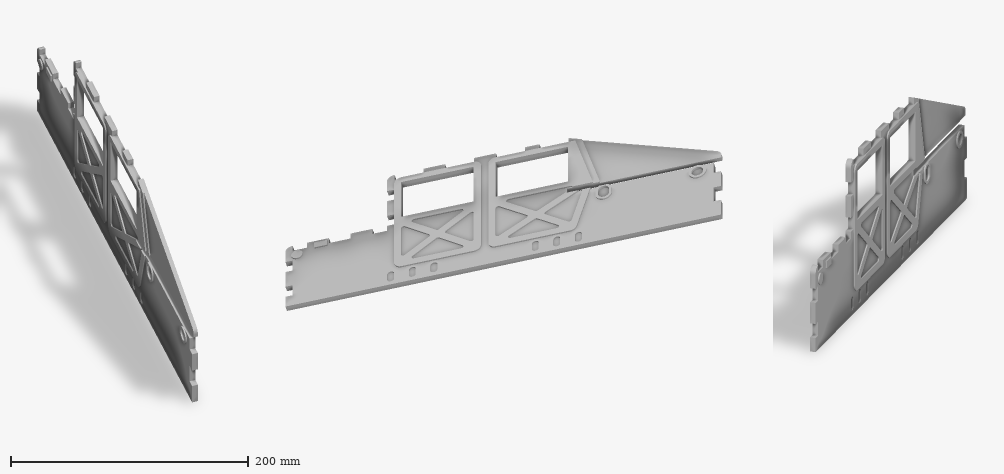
import cadquery as cq
import math

LENGTH = 381.0
HEIGHT = 139.7
OVERALL_DEPTH = 6.35
RELIEF = 1.27
PLATE = OVERALL_DEPTH - RELIEF
RECESS = RELIEF

STEP = 6.35
FINGER = 3 * STEP
GAP = 2 * STEP

HOOD_TOP = 76.2
CAB_LEFT = 88.9
CAB_FACE = 95.5
CAB_TOP = HEIGHT - STEP
ROOF_FINGERS = [(120.65, 139.7), (165.1, 184.15), (209.55, 222.25)]

SLOT_LEFT = 246.3
SLOT_BOTTOM = 68.58
SLOT_TOP = SLOT_BOTTOM + STEP

FIN_LEFT = 247.65
FIN_TIP = 82.55
FIN_ROUND = 6.35

DOOR_BOTTOM = FINGER
DOOR_ROUND = 6.35
FRONT_DOOR_LEFT = CAB_FACE
FRONT_DOOR_RIGHT = 171.45
REAR_DOOR_LEFT = FRONT_DOOR_RIGHT + STEP
REAR_DOOR_RIGHT = 253.85
REAR_DOOR_POINT = 269.0
DOOR_MIDDLE = (DOOR_BOTTOM + CAB_TOP) / 2
REAR_EDGE_LEAN = math.atan2(REAR_DOOR_POINT - REAR_DOOR_RIGHT, CAB_TOP - DOOR_MIDDLE)
REAR_EDGE_SPACING = STEP / math.cos(REAR_EDGE_LEAN)
FIN_RECESS_SPACING = 5.9

WINDOW_WIDTH = 63.5
FRONT_WINDOW_LEFT = FRONT_DOOR_RIGHT - STEP - WINDOW_WIDTH
REAR_WINDOW_LEFT = REAR_DOOR_LEFT + STEP
WINDOW_TOP = CAB_TOP - STEP
WINDOW_BOTTOM = 82.55

PANEL_BOTTOM = DOOR_BOTTOM + 6.65
PANEL_TOP = WINDOW_BOTTOM - STEP
BRACE_WIDTH = 6.75
POCKET_ROUND = 2.0

VENT_WIDTH = 6.0
VENT_HEIGHT = 12.5
VENT_CENTRE_Z = 10.2
VENT_PITCH = 18.9
VENT_COUNT = 3
VENT_GROUP_STARTS = (92.075, 218.5)

DISC_X = 10.4
DISC_Z = 62.8
DISC_RADIUS = 5.0
BLOCK_LEFT = 25.4
BLOCK_RIGHT = 36.8
BLOCK_BOTTOM = 66.7
BLOCK_TOP = 73.0
OVAL_RING_X = 278.6
OVAL_RING_Z = 60.3
OVAL_RING_STRETCH = 4.2
OVAL_RING_OUTER_RADIUS = 7.2
OVAL_RING_INNER_RADIUS = 4.8
ROUND_RING_X = 360.6
ROUND_RING_Z = 60.7
ROUND_RING_OUTER_RADIUS = 7.65
ROUND_RING_INNER_RADIUS = 5.2


def slab(points, front, back):
    """Prism with an XZ outline, filling the space between two depths from the back face."""
    return cq.Workplane("XZ").workplane(offset=back).polyline(points).close().extrude(front - back)


def box(left, right, bottom, top, front=PLATE, back=0.0):
    return slab([(left, bottom), (right, bottom), (right, top), (left, top)], front, back)


def upright_slot(x, z, width, height, front, back):
    plane = cq.Workplane("XZ").workplane(offset=back).center(x, z)
    return plane.slot2D(height, width, 90).extrude(front - back)


def disc(x, z, radius, front, back):
    return cq.Workplane("XZ").workplane(offset=back).center(x, z).circle(radius).extrude(front - back)


def relief(points):
    return slab(points, OVERALL_DEPTH, PLATE)


def base_plate():
    """Flat wall with finger joints on its left, upper and right edges."""
    inner_right = LENGTH - STEP
    hood = box(STEP, CAB_LEFT, 0, HOOD_TOP - STEP)
    lower_wall = box(CAB_LEFT, inner_right, 0, SLOT_BOTTOM)
    cab = box(CAB_FACE, FIN_LEFT, 0, CAB_TOP)
    plate = hood.union(lower_wall).union(cab).union(fin())

    for bottom, top in [(0, GAP), (2 * GAP, 2 * GAP + FINGER)]:
        plate = plate.union(box(0, STEP, bottom, top))
    right_finger_top = SLOT_BOTTOM - GAP
    for bottom, top in [(0, FINGER), (right_finger_top - FINGER, right_finger_top)]:
        plate = plate.union(box(inner_right, LENGTH, bottom, top))

    plate = plate.union(corner_finger(0, STEP, HOOD_TOP))
    plate = plate.union(corner_finger(CAB_LEFT, CAB_FACE, HEIGHT))

    upper_finger = HOOD_TOP + GAP
    plate = plate.union(box(CAB_LEFT, CAB_FACE, upper_finger, upper_finger + FINGER))
    plate = plate.union(box(CAB_LEFT, CAB_FACE, 0, HOOD_TOP))

    for left in (FINGER, 3 * FINGER):
        plate = plate.union(box(left, left + FINGER, HOOD_TOP - STEP, HOOD_TOP))

    for left, right in ROOF_FINGERS:
        plate = plate.union(box(left, right, CAB_TOP, HEIGHT))
    return plate


def fin():
    """Sloping fin with its upper right-hand corner rounded."""
    outline = [(FIN_LEFT, SLOT_TOP), (LENGTH, SLOT_TOP), (LENGTH, FIN_TIP), (FIN_LEFT, HEIGHT)]
    return slab(outline, PLATE, 0).edges("|Y").edges(">X").edges(">Z").fillet(FIN_ROUND)


def corner_finger(left, right, top):
    """Finger whose outer upper corner is a full quarter round."""
    width = right - left
    square_part = box(left, right, top - FINGER, top - width)
    round_part = disc(right, top - width, width, PLATE, 0).intersect(box(left, right, top - width, top))
    return square_part.union(round_part)


def rear_edge(z):
    """X of the leaning right-hand edge of the rear door at a height."""
    return REAR_DOOR_POINT - abs(z - DOOR_MIDDLE) * math.tan(REAR_EDGE_LEAN)


def fin_recess():
    """Shallow step in the front of the fin, held a little away from the rear door."""
    return slab(
        [
            (rear_edge(DOOR_MIDDLE) + FIN_RECESS_SPACING, DOOR_MIDDLE),
            (rear_edge(HEIGHT) + FIN_RECESS_SPACING, HEIGHT),
            (LENGTH, HEIGHT),
            (LENGTH, SLOT_TOP),
            (rear_edge(SLOT_TOP) + FIN_RECESS_SPACING, SLOT_TOP),
        ],
        PLATE,
        PLATE - RECESS,
    )


def front_door():
    door = box(FRONT_DOOR_LEFT, FRONT_DOOR_RIGHT, DOOR_BOTTOM, CAB_TOP, OVERALL_DEPTH, PLATE)
    return door.edges("|Y").fillet(DOOR_ROUND)


def rear_door():
    door = relief(
        [
            (REAR_DOOR_LEFT, DOOR_BOTTOM),
            (REAR_DOOR_RIGHT, DOOR_BOTTOM),
            (REAR_DOOR_POINT, DOOR_MIDDLE),
            (REAR_DOOR_RIGHT, CAB_TOP),
            (REAR_DOOR_LEFT, CAB_TOP),
        ]
    )
    return door.edges("|Y and (<X or <Z)").fillet(DOOR_ROUND)


def braced_pockets(left, right_bottom, right_top):
    """Four rounded triangular pockets left between the two diagonal braces of a panel."""
    corners = [
        (left, PANEL_BOTTOM),
        (right_bottom, PANEL_BOTTOM),
        (right_top, PANEL_TOP),
        (left, PANEL_TOP),
    ]
    pockets = relief(corners)
    for start, end in [(corners[0], corners[2]), (corners[1], corners[3])]:
        run = end[0] - start[0]
        rise = end[1] - start[1]
        length = math.hypot(run, rise)
        brace = (
            cq.Workplane("XZ")
            .workplane(offset=PLATE)
            .center((start[0] + end[0]) / 2, (start[1] + end[1]) / 2)
            .transformed(rotate=(0, 0, math.degrees(math.atan2(rise, run))))
            .rect(2 * length, BRACE_WIDTH)
            .extrude(RELIEF)
        )
        pockets = pockets.cut(brace)
    return pockets.edges("|Y").fillet(POCKET_ROUND)


def oval(radius, front, back):
    height = OVAL_RING_STRETCH + 2 * radius
    return upright_slot(OVAL_RING_X, OVAL_RING_Z, 2 * radius, height, front, back)


def round_ring_disc(radius, front, back):
    return disc(ROUND_RING_X, ROUND_RING_Z, radius, front, back)


def raised_details():
    """Disc, block and two ring bosses standing on the lower wall."""
    details = disc(DISC_X, DISC_Z, DISC_RADIUS, OVERALL_DEPTH, PLATE)
    block = box(BLOCK_LEFT, BLOCK_RIGHT, BLOCK_BOTTOM, BLOCK_TOP, OVERALL_DEPTH, PLATE)
    oval_boss = oval(OVAL_RING_OUTER_RADIUS, OVERALL_DEPTH, PLATE)
    round_boss = round_ring_disc(ROUND_RING_OUTER_RADIUS, OVERALL_DEPTH, PLATE)
    return details.union(block).union(oval_boss).union(round_boss)


def cut_ring_centres(body):
    """Blind centres of the two rings, sunk below the plate face."""
    floor = PLATE - RECESS
    body = body.cut(oval(OVAL_RING_INNER_RADIUS, OVERALL_DEPTH, floor))
    return body.cut(round_ring_disc(ROUND_RING_INNER_RADIUS, OVERALL_DEPTH, floor))


def cut_windows(body):
    for left in (FRONT_WINDOW_LEFT, REAR_WINDOW_LEFT):
        body = body.cut(box(left, left + WINDOW_WIDTH, WINDOW_BOTTOM, WINDOW_TOP, OVERALL_DEPTH))
    return body


def cut_vents(body):
    for start in VENT_GROUP_STARTS:
        for index in range(VENT_COUNT):
            x = start + index * VENT_PITCH
            vent = upright_slot(x, VENT_CENTRE_Z, VENT_WIDTH, VENT_HEIGHT, PLATE, PLATE - RECESS)
            body = body.cut(vent)
    return body


def panel_pockets():
    front_right = FRONT_WINDOW_LEFT + WINDOW_WIDTH
    front = braced_pockets(FRONT_WINDOW_LEFT, front_right, front_right)
    rear = braced_pockets(
        REAR_WINDOW_LEFT,
        rear_edge(PANEL_BOTTOM) - REAR_EDGE_SPACING,
        rear_edge(PANEL_TOP) - REAR_EDGE_SPACING,
    )
    return front.union(rear)


body = base_plate().union(front_door()).union(rear_door()).cut(panel_pockets())
body = body.cut(fin_recess()).union(raised_details())
body = cut_ring_centres(body)
body = cut_windows(body)
body = cut_vents(body)
result = body.cut(box(SLOT_LEFT, LENGTH, SLOT_BOTTOM, SLOT_TOP, OVERALL_DEPTH))